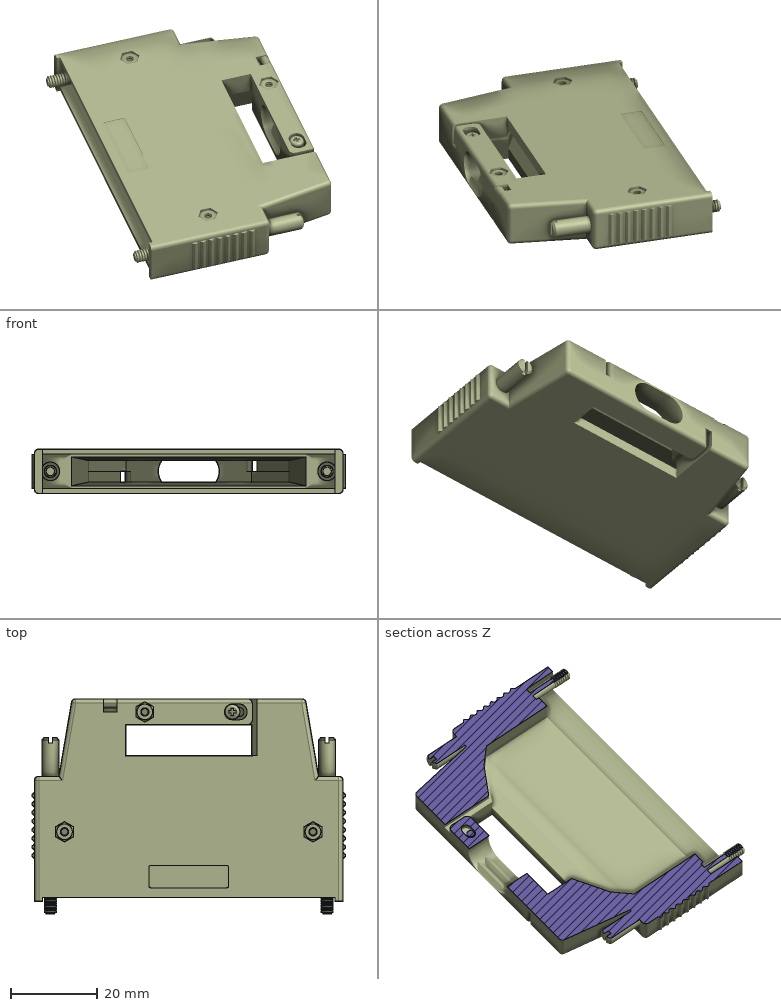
import cadquery as cq
import math


height = 10.3
half_height = height / 2
body_half_width = 35.8
body_length = 29.0
neck_base_half_width = 30.1
neck_tip_half_width = 27.05
shell_length = 47.0
edge_radius = 1.0

plate_thickness = 1.15
recess_half_height = half_height - plate_thickness
recess_half_width = 33.9
recess_depth = 7.2
plate_setback = 0.9

passage_half_width = 27.1
passage_half_height = 3.35
throat_half_width = 23.2
throat_half_height = 2.5
taper_length = passage_half_width - throat_half_width
funnel_length = 4.6

window_half_width = 14.55
window_start = 33.8
window_end = 40.95
gap_outer = 15.8
bar_half_length = 14.75
bar_end_radius = 1.2
cable_hole_length = 14.1
cable_hole_height = 8.15
cable_ridge_count = 2
cable_ridge_pitch = 2.25
cable_ridge_base = 2.25
cable_ridge_height = 0.7
cable_ridge_margin = 0.15

rib_count = 8
first_rib_y = 10.6
last_rib_y = 24.6
rib_pitch = (last_rib_y - first_rib_y) / (rib_count - 1)
rib_width = 1.5
rib_crest_width = 0.3
rib_reach = 36.35
rib_height = 7.85

jack_x = 32.1
jack_head_diameter = 4.0
jack_head_end = 37.95
jack_head_chamfer = 0.5
jack_slot_width = 0.9
jack_slot_depth = 1.2
jack_bore_diameter = 4.3
jack_bore_depth = 0.7
shank_diameter = 2.6
thread_diameter = 2.8
thread_root_diameter = 2.2
thread_pitch = 0.63
thread_start = 1.75
thread_turns = 7
thread_crest_width = 0.3
tip_diameter = 1.95
tip_end = -2.9

nut_flats = 4.1
hexagon_turn = 30
nut_sink = 0.4
nut_chamfer_height = 0.2
nut_face_diameter = 3.6
nut_bore_diameter = 1.9
nut_bore_depth = 0.35
bolt_end_diameter = 1.6
bolt_end_depth = 0.7
clamp_fastener_y = 43.9
nut_places = [(-28.8, 16.15), (28.8, 16.15), (-10.2, clamp_fastener_y)]

screw_x = 10.1
slot_travel = 1.6
head_slot_width = 3.6
head_slot_depth = 2.9
shank_slot_width = 2.2
screw_head_diameter = 3.5
screw_head_height = 2.55
screw_head_round = 0.7
screw_shank_diameter = 1.9
cross_length = 1.6
cross_width = 0.6
cross_depth = 0.6

catch_x = -18.2
catch_width = 3.05
catch_pocket_length = 3.1
catch_pocket_depth = 1.8
catch_hook_length = 2.2
catch_radius = 1.0
catch_drop = 0.3

label_width = 18.5
label_length = 5.15
label_y = 5.75
label_radius = 0.4
label_depth = 0.11


def box(x0, x1, y0, y1, z0, z1):
    """Axis-aligned block between two opposite corners."""
    return cq.Workplane("XY").box(x1 - x0, y1 - y0, z1 - z0, centered=False).translate((x0, y0, z0))


def rod(diameter, x, y0, y1):
    """Round bar along Y on the parting plane."""
    return cq.Workplane("XZ", origin=(x, y0, 0)).circle(diameter / 2).extrude(y0 - y1)


def half_turn(shape):
    """The same feature in the opposite half shell."""
    return shape.rotate((0, 0, 0), (0, 1, 0), 180)


def outer_shell():
    right_side = [
        (body_half_width, 0),
        (body_half_width, body_length),
        (neck_base_half_width, body_length),
        (neck_tip_half_width, shell_length),
    ]
    left_side = [(-x, y) for x, y in reversed(right_side)]
    shell = (
        cq.Workplane("XY", origin=(0, 0, -half_height))
        .polyline(right_side + left_side)
        .close()
        .extrude(height)
    )
    shoulder, neck_tip = right_side[1], right_side[3]
    for x, y in (shoulder, neck_tip):
        for side in (-1, 1):
            shell = shell.edges(cq.NearestToPointSelector((side * x, y, 0))).fillet(edge_radius)
    return shell.faces("|Z").edges("not(<Y)").fillet(edge_radius)


def mating_recess():
    recess = box(
        -recess_half_width, recess_half_width, 0, recess_depth, -recess_half_height, recess_half_height
    )
    setback = box(-recess_half_width, recess_half_width, 0, plate_setback, -half_height, half_height)
    return recess.union(setback)


def cable_passage():
    throat_start = window_start - funnel_length
    taper_start = throat_start - taper_length
    straight = box(
        -passage_half_width,
        passage_half_width,
        recess_depth,
        taper_start,
        -passage_half_height,
        passage_half_height,
    )
    taper = (
        cq.Workplane("XZ", origin=(0, taper_start, 0))
        .rect(2 * passage_half_width, 2 * passage_half_height)
        .workplane(offset=-taper_length)
        .rect(2 * throat_half_width, 2 * throat_half_height)
        .loft(ruled=True)
    )
    upper_funnel = (
        cq.Workplane("XY")
        .polyline(
            [
                (-throat_half_width, throat_start),
                (throat_half_width, throat_start),
                (gap_outer, window_start),
                (-window_half_width, window_start),
            ]
        )
        .close()
        .extrude(throat_half_height)
    )
    return straight.union(taper).union(upper_funnel).union(half_turn(upper_funnel))


def window():
    upper = box(-window_half_width, gap_outer, window_start, window_end, 0, half_height)
    return upper.union(half_turn(upper))


def clamp_gaps():
    """Gap past the free, rounded end of each half of the clamp bar."""
    gap = box(window_half_width - bar_end_radius, gap_outer, window_end, shell_length, 0, half_height)
    bar_end = box(0, bar_half_length, window_end, shell_length, 0, half_height)
    gap = gap.cut(bar_end.edges("|Z and >X").fillet(bar_end_radius))
    return gap.union(half_turn(gap))


def cable_hole():
    """Obround hole through the bar, with triangular ridges across its floor to hold the cable."""
    hole = (
        cq.Workplane("XZ", origin=(0, window_end, 0))
        .slot2D(cable_hole_length, cable_hole_height)
        .extrude(window_end - shell_length)
    )
    floor = -cable_hole_height / 2
    last_crest = shell_length - cable_ridge_margin - cable_ridge_base / 2
    for i in range(cable_ridge_count):
        crest_y = last_crest - i * cable_ridge_pitch
        ridge = (
            cq.Workplane("YZ")
            .moveTo(crest_y - cable_ridge_base / 2, floor)
            .lineTo(crest_y, floor + cable_ridge_height)
            .lineTo(crest_y + cable_ridge_base / 2, floor)
            .close()
            .extrude(cable_hole_length / 2, both=True)
        )
        hole = hole.cut(ridge)
    return hole


def grip_ribs():
    ribs = cq.Workplane("XY")
    for side in (-1, 1):
        for i in range(rib_count):
            y = first_rib_y + i * rib_pitch
            profile = [
                (side * (body_half_width - edge_radius), y - rib_width / 2),
                (side * body_half_width, y - rib_width / 2),
                (side * rib_reach, y - rib_crest_width / 2),
                (side * rib_reach, y + rib_crest_width / 2),
                (side * body_half_width, y + rib_width / 2),
                (side * (body_half_width - edge_radius), y + rib_width / 2),
            ]
            rib = cq.Workplane("XY").polyline(profile).close().extrude(rib_height / 2, both=True)
            ribs = ribs.union(rib)
    return ribs


def jack_head(x):
    head = rod(jack_head_diameter, x, body_length - edge_radius, jack_head_end)
    head = head.faces(">Y").chamfer(jack_head_chamfer)
    slot = box(
        x - jack_slot_width / 2,
        x + jack_slot_width / 2,
        jack_head_end - jack_slot_depth,
        jack_head_end,
        -half_height,
        half_height,
    )
    return head.cut(slot)


def jack_thread(x):
    """Plain shank, thread as a row of flat-topped ridges, and a smaller tip."""
    shank_root = recess_depth + 2 * jack_bore_depth
    profile = [(0, shank_root), (shank_diameter / 2, shank_root), (shank_diameter / 2, thread_start)]
    for i in range(thread_turns):
        valley_y = thread_start - i * thread_pitch
        crest_y = valley_y - thread_pitch / 2
        profile.append((thread_root_diameter / 2, valley_y))
        profile.append((thread_diameter / 2, crest_y + thread_crest_width / 2))
        profile.append((thread_diameter / 2, crest_y - thread_crest_width / 2))
    thread_end = thread_start - thread_turns * thread_pitch
    profile += [(tip_diameter / 2, thread_end), (tip_diameter / 2, tip_end), (0, tip_end)]
    thread = cq.Workplane("XY").polyline(profile).close().revolve(360, (0, 0, 0), (0, 1, 0))
    return thread.translate((x, 0, 0))


def nut_pocket(x, y):
    """Hexagonal pocket holding a chamfered nut with a bore stepped down to the bolt end."""
    corner_diameter = nut_flats / math.cos(math.radians(hexagon_turn))
    pocket = (
        cq.Workplane("XY", origin=(x, y, half_height))
        .transformed(rotate=(0, 0, hexagon_turn))
        .polygon(6, corner_diameter)
        .extrude(-nut_sink - nut_chamfer_height)
    )
    nut_bottom = half_height - nut_sink - nut_chamfer_height
    nut_top = (
        cq.Workplane("XY", origin=(x, y, nut_bottom))
        .circle(corner_diameter / 2)
        .workplane(offset=nut_chamfer_height)
        .circle(nut_face_diameter / 2)
        .loft()
    )
    nut_face = cq.Workplane("XY", origin=(x, y, half_height - nut_sink))
    bore = nut_face.circle(nut_bore_diameter / 2).extrude(-nut_bore_depth)
    bore = bore.union(nut_face.circle(bolt_end_diameter / 2).extrude(-bolt_end_depth))
    return pocket.cut(nut_top).union(bore)


def clamp_screw_slot():
    middle = (screw_x + slot_travel / 2, clamp_fastener_y, half_height)
    head_slot = (
        cq.Workplane("XY", origin=middle)
        .slot2D(head_slot_width + slot_travel, head_slot_width)
        .extrude(-head_slot_depth)
    )
    shank_slot = (
        cq.Workplane("XY", origin=middle)
        .slot2D(shank_slot_width + slot_travel, shank_slot_width)
        .extrude(-half_height)
    )
    return head_slot.union(shank_slot)


def clamp_screw():
    seat = half_height - head_slot_depth
    head_top = seat + screw_head_height
    head = (
        cq.Workplane("XY", origin=(screw_x, clamp_fastener_y, seat))
        .circle(screw_head_diameter / 2)
        .extrude(screw_head_height)
        .faces(">Z")
        .edges()
        .fillet(screw_head_round)
    )
    shank = (
        cq.Workplane("XY", origin=(screw_x, clamp_fastener_y, seat))
        .circle(screw_shank_diameter / 2)
        .extrude(-seat)
    )
    cross = (
        cq.Workplane("XY", origin=(screw_x, clamp_fastener_y, head_top))
        .rect(cross_length, cross_width)
        .extrude(-cross_depth)
    )
    cross = cross.union(cross.rotate((screw_x, clamp_fastener_y, 0), (screw_x, clamp_fastener_y, 1), 90))
    return head.union(shank).cut(cross)


def catch_pocket():
    floor = half_height - catch_pocket_depth
    x0 = catch_x - catch_width / 2
    x1 = catch_x + catch_width / 2
    pocket = box(x0, x1, shell_length - catch_pocket_length, shell_length, floor, half_height)
    hook = box(x0, x1, shell_length - catch_hook_length, shell_length, floor, half_height - catch_drop)
    hook = hook.edges("|X and >Z").fillet(catch_radius)
    return pocket.cut(hook)


def label_field():
    return (
        cq.Workplane("XY", origin=(0, label_y, half_height))
        .rect(label_width, label_length)
        .extrude(-label_depth)
        .edges("|Z")
        .fillet(label_radius)
    )


result = outer_shell()
result = result.cut(mating_recess()).cut(cable_passage())
result = result.cut(window()).cut(clamp_gaps()).cut(cable_hole())
result = result.cut(catch_pocket()).cut(label_field())
result = result.union(grip_ribs())

for nut_x, nut_y in nut_places:
    result = result.cut(nut_pocket(nut_x, nut_y))

for jack_side in (-jack_x, jack_x):
    jack_bore = rod(jack_bore_diameter, jack_side, recess_depth, recess_depth + jack_bore_depth)
    result = result.cut(jack_bore)
    result = result.union(jack_head(jack_side)).union(jack_thread(jack_side))

result = result.cut(clamp_screw_slot()).union(clamp_screw())